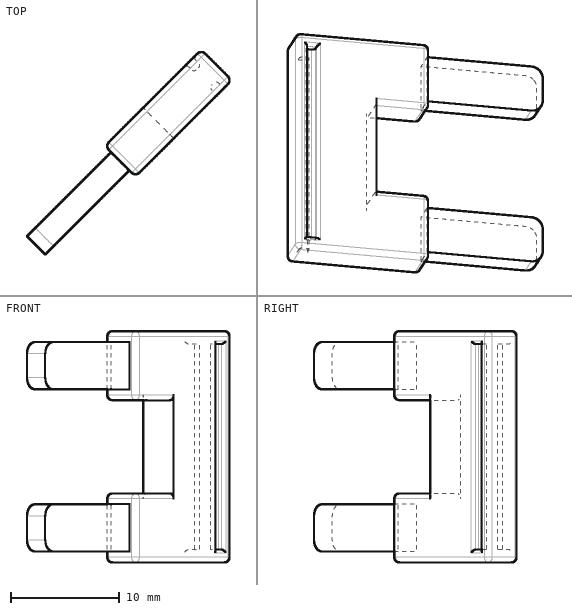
import cadquery as cq

turn_angle = 45.0

body_length = 12.6
body_thickness = 4.0
body_height = 21.4
leg_height = 6.4
notch_depth = 5.0
edge_radius = 0.5

prong_reach = 11.0
prong_thickness = 2.4
prong_height = 4.4
prong_tip_radius = 1.1
prong_embed = 1.0

groove_width = 0.9
groove_length = 19.0
groove_depth = 1.0
groove_end_distance = 1.5
groove_radius = 0.3

notch_height = body_height - 2 * leg_height
leg_center_z = (body_height - leg_height) / 2
groove_center_x = body_length - groove_end_distance
face_y = body_thickness / 2


def make_block(length, thickness, height):
    """Box starting at X = 0 and centred on Y and Z."""
    return cq.Workplane("XY").box(length, thickness, height, centered=(False, True, True))


def make_body():
    """U-shaped housing with all edges rounded except those around the notch floor."""
    block = make_block(body_length, body_thickness, body_height)
    notch = make_block(notch_depth, body_thickness, notch_height)
    body = block.cut(notch)
    floor_edges = cq.selectors.BoxSelector(
        (notch_depth - edge_radius, -body_thickness, -body_height),
        (notch_depth + edge_radius, body_thickness, body_height),
    )
    rounded_edges = cq.selectors.InverseSelector(floor_edges)
    return body.edges(rounded_edges).fillet(edge_radius)


def make_prong(center_z):
    """Flat blade rounded at the upper and lower corners of its tip."""
    blade = make_block(prong_reach + prong_embed, prong_thickness, prong_height)
    blade = blade.edges("<X and |Y").fillet(prong_tip_radius)
    return blade.translate((-prong_reach, 0, center_z))


def cut_groove(body, side):
    """Cut a straight-walled groove with a rounded floor and a rounded rim into one broad face."""
    cutter = make_block(groove_width, 2 * groove_depth, groove_length)
    cutter = cutter.edges("|Z").fillet(groove_radius)
    cutter = cutter.translate((groove_center_x - groove_width / 2, side * face_y, 0))
    grooved = body.cut(cutter)
    wall_offset = groove_width / 2 + groove_radius
    rim_edges = cq.selectors.BoxSelector(
        (groove_center_x - wall_offset, side * face_y - groove_radius / 2, -body_height / 2),
        (groove_center_x + wall_offset, side * face_y + groove_radius / 2, body_height / 2),
    )
    return grooved.edges(rim_edges).fillet(groove_radius)


plug = make_body()
for side in (-1, 1):
    plug = cut_groove(plug, side)
for center_z in (-leg_center_z, leg_center_z):
    plug = plug.union(make_prong(center_z))

result = plug.rotate((0, 0, 0), (0, 0, 1), turn_angle)